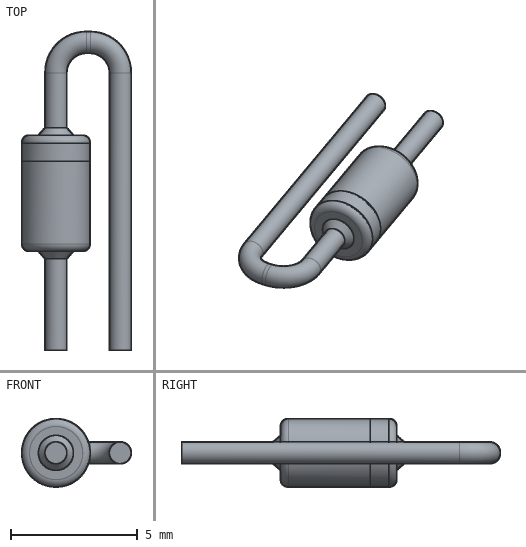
import cadquery as cq

overall_length = 12.58
lead_diameter = 0.87
lead_radius = lead_diameter / 2
lead_pitch = 2.54
bend_radius = 1.2

housing_diameter = 2.7
housing_start = 3.9
housing_length = 4.59
housing_end = housing_start + housing_length
housing_fillet = 0.3

collar_base_diameter = 1.38
collar_base_radius = collar_base_diameter / 2
collar_length = 0.29
front_collar_tip = housing_start - collar_length
back_collar_tip = housing_end + collar_length

band_thickness = 0.05
band_width = 0.72
band_edge_gap = 0.03
band_end = housing_end - housing_fillet - band_edge_gap
band_start = band_end - band_width


def circle_across_y(diameter, x, y):
    """Circle centred at (x, y, 0) whose normal is +Y."""
    plane = cq.Plane(origin=(x, y, 0), xDir=(1, 0, 0), normal=(0, 1, 0))
    return cq.Workplane(plane).circle(diameter / 2)


def make_housing():
    """Round-edged cylinder with a conical collar at each end and a groove for the band."""
    barrel = circle_across_y(housing_diameter, 0, housing_start).extrude(housing_length)
    barrel = barrel.edges("%CIRCLE").fillet(housing_fillet)
    collars = (
        cq.Workplane("XY")
        .moveTo(0, front_collar_tip)
        .lineTo(lead_radius, front_collar_tip)
        .lineTo(collar_base_radius, housing_start)
        .lineTo(collar_base_radius, housing_end)
        .lineTo(lead_radius, back_collar_tip)
        .lineTo(0, back_collar_tip)
        .close()
        .revolve(360, (0, 0, 0), (0, 1, 0))
    )
    return barrel.union(collars).cut(make_polarity_band())


def make_polarity_band():
    """Ring that fills a shallow groove near the back end of the housing, flush with its surface."""
    bore_diameter = housing_diameter - 2 * band_thickness
    ring = circle_across_y(housing_diameter, 0, band_start).circle(bore_diameter / 2)
    return ring.extrude(band_width)


def make_straight_lead():
    """Straight wire from Y = 0 to the tip of the front collar."""
    return circle_across_y(lead_diameter, 0, 0).extrude(front_collar_tip)


def make_bent_lead():
    """Wire that leaves the back collar and turns back alongside the housing to Y = 0."""
    bend_start = overall_length - lead_radius - bend_radius
    bend_top = bend_start + bend_radius
    path = (
        cq.Workplane("XY")
        .moveTo(0, back_collar_tip)
        .lineTo(0, bend_start)
        .radiusArc((bend_radius, bend_top), bend_radius)
        .lineTo(lead_pitch - bend_radius, bend_top)
        .radiusArc((lead_pitch, bend_start), bend_radius)
        .lineTo(lead_pitch, 0)
    )
    return circle_across_y(lead_diameter, 0, back_collar_tip).sweep(path)


housing = make_housing()
polarity_band = make_polarity_band()
straight_lead = make_straight_lead()
bent_lead = make_bent_lead()

result = cq.Compound.makeCompound([
    housing.val(),
    polarity_band.val(),
    straight_lead.val(),
    bent_lead.val(),
])